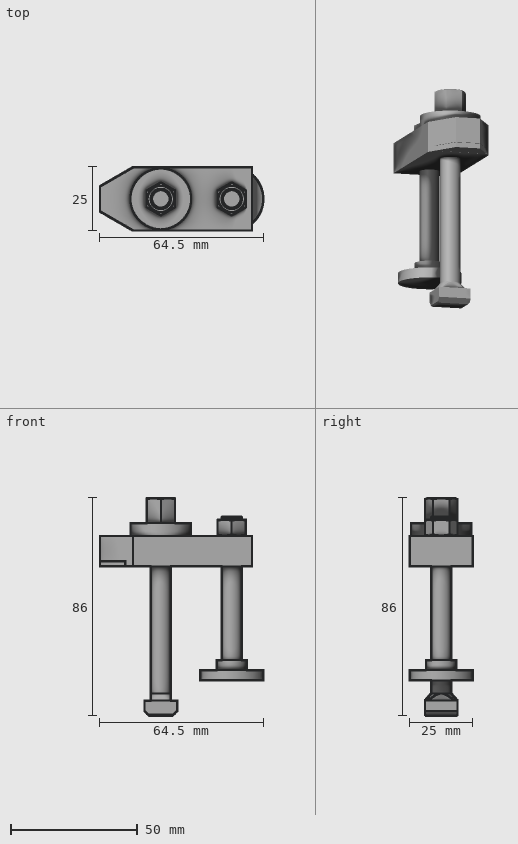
import cadquery as cq
import math

overall_length = 64.5

bar_length = 60.0
bar_width = 25.0
bar_thickness = 12.0
bar_bottom = 59.0
bar_top = bar_bottom + bar_thickness
nose_width = 10.0
nose_taper = math.radians(30)
nose_length = (bar_width - nose_width) / 2 / math.tan(nose_taper)

recess_length = 10.1
recess_height = 2.1
pad_clearance = 0.1
pad_length = recess_length - pad_clearance
pad_thickness = recess_height - pad_clearance

shank_diameter = 8.0
bolt_x = 24.0

hex_corner_diameter = 13.0
hex_crown_diameter = 10.4
crown_angle = math.radians(22)
crown_inset = (hex_corner_diameter - hex_crown_diameter) / 2
crown_drop = crown_inset * math.tan(crown_angle)

collar_diameter = 24.0
collar_thickness = 5.0
collar_top = bar_top + collar_thickness
collar_hex_height = 10.0
collar_nut_top = collar_top + collar_hex_height
collar_nut_bore = 7.5
collar_nut_countersink_depth = (shank_diameter - collar_nut_bore) / 2

locknut_height = 6.5
locknut_top = bar_top + locknut_height

head_side = 13.0
head_thickness = 6.0
head_side_chamfer = 2.0
head_end_chamfer = 0.5
neck_height = 2.8
bolt_end_chamfer = 0.3

foot_bottom = 14.0
foot_diameter = bar_width
stud_x = overall_length - foot_diameter / 2
foot_thickness = 4.0
boss_diameter = 12.0
boss_height = 3.95
stud_top = bar_top + 7.7
stud_end_chamfer = 0.5


def cylinder(diameter, bottom, top, x):
    """Upright cylinder at the given place along the bar."""
    return cq.Workplane("XY", origin=(x, 0, bottom)).circle(diameter / 2).extrude(top - bottom)


def hexagon(bottom, top, x, crowned_ends):
    """Upright hexagonal prism whose corners are turned to a cone on the selected end faces."""
    prism = (
        cq.Workplane("XY", origin=(x, 0, bottom))
        .transformed(rotate=(0, 0, 90))
        .polygon(6, hex_corner_diameter)
        .extrude(top - bottom)
    )
    for end in crowned_ends:
        envelope = cylinder(hex_corner_diameter, bottom, top, x)
        prism = prism.intersect(envelope.faces(end).chamfer(crown_drop, crown_inset))
    return prism


def bar_blank():
    """Bar with its tapered nose, before the holes and the pad recess."""
    return (
        cq.Workplane("XY", origin=(0, 0, bar_bottom))
        .moveTo(0, -nose_width / 2)
        .lineTo(nose_length, -bar_width / 2)
        .lineTo(bar_length, -bar_width / 2)
        .lineTo(bar_length, bar_width / 2)
        .lineTo(nose_length, bar_width / 2)
        .lineTo(0, nose_width / 2)
        .close()
        .extrude(bar_thickness)
    )


def nose_block(length, height):
    """Block under the nose, starting at the nose tip and the underside of the bar."""
    return cq.Workplane("XY", origin=(0, 0, bar_bottom)).box(
        length, bar_width, height, centered=(False, True, False)
    )


def make_bar():
    """Clamp bar with the pad recess and a through hole for each shank."""
    bar = bar_blank().cut(nose_block(recess_length, recess_height))
    for x in (bolt_x, stud_x):
        bar = bar.cut(cylinder(shank_diameter, bar_bottom, bar_top, x))
    return bar


def make_pad():
    """Contact pad, flush with the tip, sides and underside of the nose."""
    return bar_blank().intersect(nose_block(pad_length, pad_thickness))


def make_collar_nut():
    """Hexagon on a wide round collar, bored through and countersunk at the top."""
    collar = cylinder(collar_diameter, bar_top, collar_top, bolt_x)
    nut = collar.union(hexagon(collar_top, collar_nut_top, bolt_x, [">Z"]))
    bore = cylinder(collar_nut_bore, bar_top, collar_nut_top, bolt_x)
    countersink = cq.Solid.makeCone(
        collar_nut_bore / 2,
        shank_diameter / 2,
        collar_nut_countersink_depth,
        pnt=cq.Vector(bolt_x, 0, collar_nut_top - collar_nut_countersink_depth),
    )
    return nut.cut(bore).cut(cq.Workplane(countersink))


def make_locknut():
    """Plain nut, crowned on its lower end as well as on its upper one."""
    nut = hexagon(bar_top, locknut_top, stud_x, ["<Z", ">Z"])
    bore = cylinder(shank_diameter, bar_top, locknut_top, stud_x)
    return nut.cut(bore)


def make_t_bolt():
    """T-bolt: chamfered head, conical neck with two flats, shank and nut thread."""
    neck_top = head_thickness + neck_height
    head = (
        cq.Workplane("XY", origin=(bolt_x, 0, 0))
        .box(head_side, head_side, head_thickness, centered=(True, True, False))
        .faces("<Z").edges("|Y").chamfer(head_side_chamfer)
        .faces("<Z").edges("|X").chamfer(head_end_chamfer)
    )
    cone = cq.Workplane(cq.Solid.makeCone(
        head_side / 2,
        shank_diameter / 2,
        neck_height,
        pnt=cq.Vector(bolt_x, 0, head_thickness),
    ))
    neck_slab = cq.Workplane("XY", origin=(bolt_x, 0, head_thickness)).box(
        shank_diameter, head_side, neck_height, centered=(True, True, False)
    )
    neck = cone.intersect(neck_slab)
    shank = cylinder(shank_diameter, neck_top, bar_top, bolt_x)
    thread = cylinder(collar_nut_bore, bar_top, collar_nut_top, bolt_x)
    thread = thread.faces(">Z").chamfer(bolt_end_chamfer)
    return head.union(neck).union(shank).union(thread)


def make_support_stud():
    """Stud standing on a round foot with a raised boss."""
    boss_bottom = foot_bottom + foot_thickness
    boss_top = boss_bottom + boss_height
    foot = cylinder(foot_diameter, foot_bottom, boss_bottom, stud_x)
    boss = cylinder(boss_diameter, boss_bottom, boss_top, stud_x)
    shank = cylinder(shank_diameter, boss_top, stud_top, stud_x)
    return foot.union(boss).union(shank.faces(">Z").chamfer(stud_end_chamfer))


bar = make_bar()
pad = make_pad()
collar_nut = make_collar_nut()
locknut = make_locknut()
t_bolt = make_t_bolt()
support_stud = make_support_stud()

result = cq.Compound.makeCompound([
    bar.val(),
    pad.val(),
    collar_nut.val(),
    locknut.val(),
    t_bolt.val(),
    support_stud.val(),
])